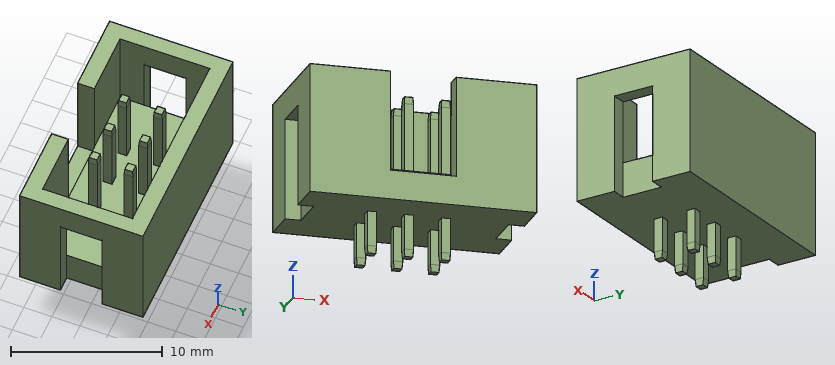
import cadquery as cq

body_length = 15.56
body_width = 8.8
body_height = 8.9
end_wall = 1.09
side_wall = 1.2
floor_thickness = 2.5

key_width = 4.5
key_bottom = 2.0

end_slot_width = 2.97
end_slot_height = 6.93

pin_columns = 3
pin_rows = 2
pitch = 2.54
pin_size = 0.64
pin_tail = 2.9
pin_top = 8.22
tip_length = 0.5
tip_inset = 0.044
pin_grid_x = -0.17


def block(length, width, bottom, top, x=0, y=0):
    """Upright box centred on (x, y), spanning bottom to top in Z."""
    box = cq.Workplane("XY").box(length, width, top - bottom, centered=(True, True, False))
    return box.translate((x, y, bottom))


def housing():
    shell = block(body_length, body_width, 0, body_height)
    cavity = block(
        body_length - 2 * end_wall,
        body_width - 2 * side_wall,
        floor_thickness,
        body_height,
    )
    shell = shell.cut(cavity)

    key_y = -(body_width - side_wall) / 2
    shell = shell.cut(block(key_width, side_wall, key_bottom, body_height, y=key_y))

    for side in (-1, 1):
        slot_x = side * (body_length - end_wall) / 2
        shell = shell.cut(block(end_wall, end_slot_width, 0, end_slot_height, x=slot_x))
    return shell


def pin():
    """Pin on the Z axis: a straight square shank with a tapered tip at each end."""
    tip_size = pin_size - 2 * tip_inset
    shank_bottom = tip_length - pin_tail
    shank_top = pin_top - tip_length
    shank = block(pin_size, pin_size, shank_bottom, shank_top)
    upper_tip = (
        cq.Workplane("XY", origin=(0, 0, shank_top))
        .rect(pin_size, pin_size)
        .workplane(offset=tip_length)
        .rect(tip_size, tip_size)
        .loft(ruled=True)
    )
    lower_tip = (
        cq.Workplane("XY", origin=(0, 0, -pin_tail))
        .rect(tip_size, tip_size)
        .workplane(offset=tip_length)
        .rect(pin_size, pin_size)
        .loft(ruled=True)
    )
    return shank.union(upper_tip).union(lower_tip)


def add_pins(base):
    single_pin = pin()
    for column in range(pin_columns):
        for row in range(pin_rows):
            x = pin_grid_x + (column - (pin_columns - 1) / 2) * pitch
            y = (row - (pin_rows - 1) / 2) * pitch
            base = base.union(single_pin.translate((x, y, 0)))
    return base


result = add_pins(housing())